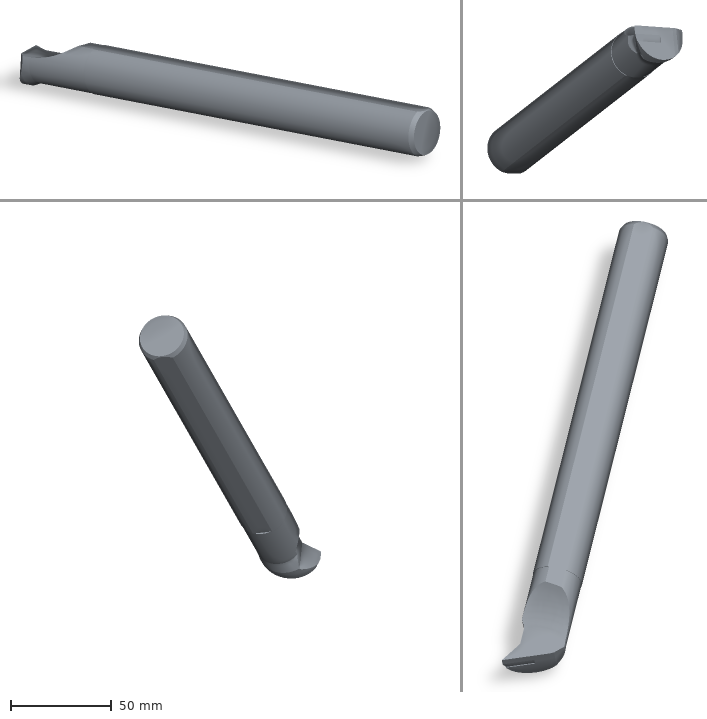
import cadquery as cq

length = 250.0
shank_radius = 12.5
flat_height = 11.5
neck_radius = 12.2
neck_end = 50.5
chamfer_length = 2.5
chamfer_depth = 1.2

head_radius = 14.8
head_offset = 2.2
head_straight = 11.0
head_end = 16.5
tip_y = head_offset + head_radius
tip_z = 0.5
rake_angle = 6.0

insert_front = (5.0, -15.0)
insert_back = (11.2, -7.5)
insert_thickness = 8.0
land_height = 4.2
relief_depth = 0.5

scoop_center = (-3.5, 1.2)
scoop_floor_radius = 23.2
scoop_flare = 30.8

facet_1 = (7.5, -5.5)
facet_2 = (8.5, -7.8)
facet_3 = (19.8, -20.0)
side_y = 10.0
side_end = 20.0
side_runout = (30.0, 15.0)

reach = 50.0


def tilt(shape):
    """Move a shape from the rake-face frame, origin at the tip, to its place."""
    return shape.rotate((0, 0, 0), (1, 0, 0), -rake_angle).translate((0, tip_y, tip_z))


def make_head_envelope():
    """Eccentric round head that tapers into the neck."""
    head = cq.Workplane("YZ").center(head_offset, 0).circle(head_radius).extrude(head_straight)
    taper = (
        cq.Workplane("YZ", origin=(head_straight, 0, 0))
        .center(head_offset, 0)
        .circle(head_radius)
        .workplane(offset=head_end - head_straight)
        .center(-head_offset, 0)
        .circle(neck_radius)
        .loft()
    )
    return head.union(taper)


def make_shank():
    """Round shank with a chamfered end and flats above and below."""
    shank = (
        cq.Workplane("XY")
        .moveTo(neck_end, 0)
        .lineTo(neck_end, shank_radius)
        .lineTo(length - chamfer_length, shank_radius)
        .lineTo(length, shank_radius - chamfer_depth)
        .lineTo(length, 0)
        .close()
        .revolve(360, (0, 0, 0), (1, 0, 0))
    )
    slab = cq.Workplane("XY").box(2 * length, reach, 2 * flat_height)
    return shank.intersect(slab)


def make_neck():
    """Round neck; only its top carries the flat."""
    neck = cq.Workplane("YZ").circle(neck_radius).extrude(neck_end)
    above_flat = cq.Workplane("XY", origin=(0, 0, flat_height)).rect(3 * neck_end, reach).extrude(reach)
    return neck.cut(above_flat)


def make_head_outline():
    """Prism with the plan outline of the faceted end and the relieved side."""
    side_start = (tip_y - side_y) * insert_back[0] / -insert_back[1]
    outline = [
        (0, tip_y),
        facet_1,
        facet_2,
        facet_3,
        (length, facet_3[1]),
        (length, side_runout[1]),
        side_runout,
        (side_end, side_y),
        (side_start, side_y),
    ]
    prism = cq.Workplane("XY", origin=(0, -tip_y, -reach / 2)).polyline(outline).close().extrude(reach)
    return tilt(prism)


def make_scoop():
    """Cutter for the chip space, its floor lying in the rake face."""
    center_x = scoop_center[0]
    center_y = scoop_center[1] - tip_y
    profile = (
        cq.Workplane("XZ", origin=(center_x, center_y, 0))
        .lineTo(scoop_floor_radius, 0)
        .radiusArc((scoop_floor_radius + scoop_flare, scoop_flare), -scoop_flare)
        .lineTo(0, scoop_flare)
        .close()
    )
    return tilt(profile.revolve(360, (0, 0, 0), (0, 1, 0)))


def make_pocket():
    """Straight-sided seat of the insert, sunk below the rake face."""
    far_corner = (insert_front[0] + insert_back[0], insert_front[1] + insert_back[1])
    prism = (
        cq.Workplane("XY")
        .polyline([(0, 0), insert_front, far_corner, insert_back])
        .close()
        .extrude(-insert_thickness)
    )
    return tilt(prism)


def make_relief():
    """Wedge that slopes the lower flank back along the cutting edge."""
    along = cq.Vector(insert_front[0], insert_front[1], 0)
    plane = cq.Plane(origin=(0, 0, 0), xDir=(-insert_front[1], insert_front[0], 0), normal=along)
    wedge = (
        cq.Workplane(plane)
        .polyline([(0, -land_height), (0, -insert_thickness), (relief_depth, -insert_thickness)])
        .close()
        .extrude(along.Length)
    )
    return tilt(wedge)


head_envelope = make_head_envelope()
head_outline = make_head_outline()
pocket = make_pocket()

insert = pocket.intersect(head_envelope).intersect(head_outline).cut(make_relief())

holder = (
    make_neck()
    .union(head_envelope)
    .intersect(head_outline)
    .cut(make_scoop())
    .cut(pocket)
    .union(make_shank())
)

result = cq.Compound.makeCompound([holder.val(), insert.val()])